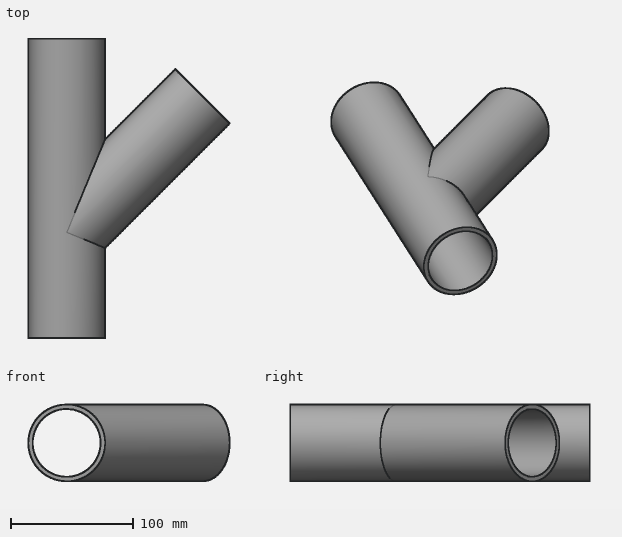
import cadquery as cq

outer_diameter = 63.0
bore_diameter = 55.4
run_length = 245
branch_offset = 86.7
branch_length = 157.3

run_start = cq.Vector(0, 0, 0)
run_direction = cq.Vector(0, 1, 0)
branch_start = cq.Vector(0, branch_offset, 0)
branch_direction = cq.Vector(1, 1, 0)


def round_bar(diameter, length, start, direction):
    """Solid cylinder extending from start along direction."""
    return cq.Workplane(cq.Solid.makeCylinder(diameter / 2, length, start, direction))


def run_and_branch(diameter):
    """Run and branch cylinders of one diameter, joined."""
    run = round_bar(diameter, run_length, run_start, run_direction)
    branch = round_bar(diameter, branch_length, branch_start, branch_direction)
    return run.union(branch)


result = run_and_branch(outer_diameter).cut(run_and_branch(bore_diameter))